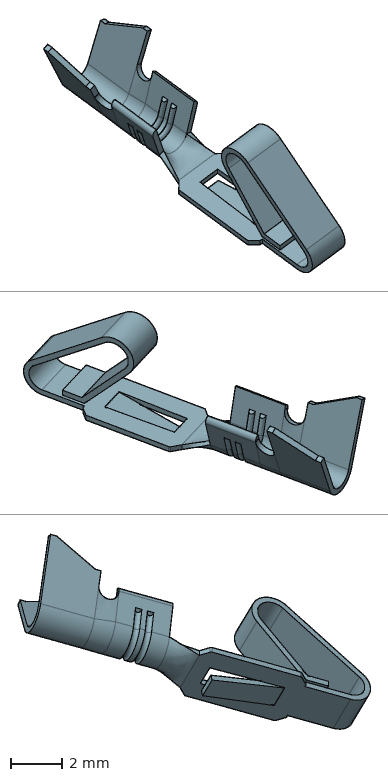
import cadquery as cq
import math

sheet = 0.25

insulation_end = 2.27
insulation_radius = 0.88
insulation_lean = 20
insulation_wing_high = 3.0
insulation_wing_low = 2.07
wing_tip_flat = 0.25

conductor_start = 3.14
conductor_end = 5.42
conductor_radius = 0.9
conductor_lean = 15
conductor_wing = 1.6
conductor_tip_fillet = 0.22

neck_wing = 1.39
neck_floor = 0.95

serration_centers = (4.03, 4.53)
serration_radius = 0.132
serration_wing = 0.86
serration_end_slope = 25

blade_start = 6.63
blade_end = 11.13
blade_half_width = 1.36
blade_start_half_width = 1.0
blade_corner = 0.35
blade_corner_fillet = 0.1

tongue_hinge = 10.41
tongue_tip_drop = 0.61
tongue_angle = 11
tongue_hinge_drop = 0.021
tongue_hinge_half_width = 0.54
tongue_tip_half_width = 0.49
window_start = 7.28

clip_width = 1.81
overall_length = 13.9
nose_radius = 0.85
loop_radius = 0.9
loop_center = (9.79, 3.34)
nose_center = (overall_length - nose_radius, nose_radius)
front_leg_angle = 49.5
tail_underside = 0.38
tail_end = 12.12


def polar(center, radius, degrees):
    """Point at a given radius and direction from a center."""
    angle = math.radians(degrees)
    return (center[0] + radius * math.cos(angle), center[1] + radius * math.sin(angle))


def wing_point(bend_radius, face_radius, lean, length):
    """Point (y, z) on a face of the +Y wing, a given length above the bend."""
    y, z = polar((0, bend_radius), face_radius, -lean)
    return polar((y, z), length, 90 - lean)


def mirrored(point):
    return (-point[0], point[1])


def face_bottom(bend_radius, face_radius):
    return (0, bend_radius - face_radius)


def trough_section(x, bend_radius, lean, wing):
    """Closed U-shaped section of the sheet at position x, with or without straight wings."""
    inner_radius = bend_radius - sheet
    outer_bend = wing_point(bend_radius, bend_radius, lean, 0)
    inner_bend = wing_point(bend_radius, inner_radius, lean, 0)
    outer_tip = wing_point(bend_radius, bend_radius, lean, wing)
    inner_tip = wing_point(bend_radius, inner_radius, lean, wing)
    section = cq.Workplane("YZ", origin=(x, 0, 0)).moveTo(*mirrored(outer_bend))
    section = section.threePointArc(face_bottom(bend_radius, bend_radius), outer_bend)
    if wing > 0:
        section = section.lineTo(*outer_tip)
    section = section.lineTo(*inner_tip)
    if wing > 0:
        section = section.lineTo(*inner_bend)
    section = section.threePointArc(face_bottom(bend_radius, inner_radius), mirrored(inner_bend))
    if wing > 0:
        section = section.lineTo(*mirrored(inner_tip))
    section = section.lineTo(*mirrored(outer_tip))
    return section.close()


def section_wire(section):
    return section.wires().val()


def wing_plane(bend_radius, lean, side):
    """Plane on the outer wing face at the bend: local x along X, normal pointing inwards."""
    y, z = wing_point(bend_radius, bend_radius, lean, 0)
    angle = math.radians(lean)
    inward = (0, -side * math.cos(angle), math.sin(angle))
    return cq.Plane(origin=(0, side * y, z), xDir=(1, 0, 0), normal=inward)


def upward(plane):
    """Sign of the plane's local y that points up the wing."""
    return 1 if plane.yDir.z > 0 else -1


def wing_cutter(outline, bend_radius, lean, side):
    """Prism through one wing; the outline is given as (x, length above the bend)."""
    plane = wing_plane(bend_radius, lean, side)
    points = [(x, upward(plane) * length) for x, length in outline]
    return cq.Workplane(plane).polyline(points).close().extrude(2 * sheet, both=True)


def insulation_barrel():
    barrel = trough_section(0, insulation_radius, insulation_lean, insulation_wing_high)
    barrel = barrel.extrude(insulation_end)
    above = insulation_wing_high + sheet
    for side in (-1, 1):
        slant = [
            (wing_tip_flat, insulation_wing_high),
            (insulation_end - wing_tip_flat, insulation_wing_low),
            (insulation_end + sheet, insulation_wing_low),
            (insulation_end + sheet, above),
            (wing_tip_flat, above),
        ]
        if side > 0:
            slant = [(insulation_end - x, length) for x, length in slant]
        barrel = barrel.cut(wing_cutter(slant, insulation_radius, insulation_lean, side))
    return barrel


def neck():
    start = trough_section(insulation_end, insulation_radius, insulation_lean, neck_wing)
    end = trough_section(conductor_start, conductor_radius, conductor_lean, neck_wing)
    body = cq.Workplane(cq.Solid.makeLoft([section_wire(start), section_wire(end)], True))
    mean_radius = (insulation_radius + conductor_radius) / 2
    mean_lean = (insulation_lean + conductor_lean) / 2
    relief_radius = (conductor_start - insulation_end) / 2
    relief_x = insulation_end + relief_radius
    for side in (-1, 1):
        plane = wing_plane(mean_radius, mean_lean, side)
        relief_height = upward(plane) * (neck_floor + relief_radius)
        relief = cq.Workplane(plane).center(relief_x, relief_height).circle(relief_radius)
        body = body.cut(relief.extrude(2 * sheet, both=True))
    return body


def serration(x, face_radius):
    """Round bar following one face of the conductor barrel from wing to wing."""
    end = wing_point(conductor_radius, face_radius, conductor_lean, serration_wing)
    tip = wing_point(conductor_radius, face_radius, conductor_lean, serration_wing + serration_radius)
    bend = wing_point(conductor_radius, face_radius, conductor_lean, 0)
    path = (
        cq.Workplane("YZ", origin=(x, 0, 0))
        .moveTo(*mirrored(tip))
        .lineTo(*mirrored(bend))
        .threePointArc(face_bottom(conductor_radius, face_radius), bend)
        .lineTo(*tip)
    )
    lean = math.radians(conductor_lean)
    end_plane = cq.Plane(
        origin=(x, -tip[0], tip[1]),
        xDir=(1, 0, 0),
        normal=(0, math.sin(lean), -math.cos(lean)),
    )
    bar = cq.Workplane(end_plane).circle(serration_radius).sweep(path)
    slope = math.tan(math.radians(serration_end_slope))
    reach = 2 * end[0]
    outer_height = end[1] + (reach - end[0]) * slope
    middle_height = end[1] - end[0] * slope
    trim = (
        cq.Workplane("YZ", origin=(x, 0, 0))
        .polyline([
            (-reach, outer_height),
            (0, middle_height),
            (reach, outer_height),
            (reach, -conductor_radius),
            (-reach, -conductor_radius),
        ])
        .close()
        .extrude(2 * serration_radius, both=True)
    )
    return bar.intersect(trim)


def conductor_barrel():
    barrel = trough_section(conductor_start, conductor_radius, conductor_lean, conductor_wing)
    barrel = barrel.extrude(conductor_end - conductor_start)
    barrel = barrel.edges("|X").edges(">Y or <Y").fillet(conductor_tip_fillet)
    for x in serration_centers:
        barrel = barrel.union(serration(x, conductor_radius - sheet))
    for x in serration_centers:
        barrel = barrel.cut(serration(x, conductor_radius))
    return barrel


def transition():
    """Flattens the conductor barrel's rounded floor into the blade."""
    start = trough_section(conductor_end, conductor_radius, conductor_lean, 0)
    half = blade_start_half_width
    flat = (
        cq.Workplane("YZ", origin=(blade_start, 0, 0))
        .polyline([(-half, 0), (half, 0), (half, sheet), (-half, sheet)])
        .close()
    )
    return cq.Workplane(cq.Solid.makeLoft([section_wire(start), section_wire(flat)], True))


def blade_with_tongue():
    half = blade_half_width
    end_half = half - blade_corner
    edge = [
        (blade_start, blade_start_half_width),
        (blade_start + blade_corner, half),
        (blade_end - blade_corner, half),
        (blade_end, end_half),
    ]
    outline = edge + [(x, -y) for x, y in reversed(edge)]
    blade = cq.Workplane("XY").polyline(outline).close().extrude(sheet)
    blade = blade.edges("|Z").edges(">Y or <Y").fillet(blade_corner_fillet)

    window_outline = [
        (window_start, tongue_tip_half_width),
        (tongue_hinge, tongue_hinge_half_width),
        (tongue_hinge, -tongue_hinge_half_width),
        (window_start, -tongue_tip_half_width),
    ]
    window = (
        cq.Workplane("XY", origin=(0, 0, -2 * tongue_tip_drop))
        .polyline(window_outline)
        .close()
        .extrude(4 * tongue_tip_drop)
    )
    tongue_length = (tongue_tip_drop - tongue_hinge_drop) / math.sin(math.radians(tongue_angle))
    lower_hinge = (tongue_hinge, -tongue_hinge_drop)
    upper_hinge = (tongue_hinge, sheet - tongue_hinge_drop)
    lower_tip = polar(lower_hinge, tongue_length, 180 + tongue_angle)
    upper_tip = polar(lower_tip, sheet, 90 + tongue_angle)
    tongue = (
        cq.Workplane("XZ")
        .polyline([lower_hinge, lower_tip, upper_tip, upper_hinge])
        .close()
        .extrude(half, both=True)
        .intersect(window)
    )
    return blade.cut(window).union(tongue)


def spring_clip():
    """Strip curled up around the nose, back over the blade, and down to a short tail."""
    rise = loop_center[1] - nose_center[1]
    back = nose_center[0] - loop_center[0]
    center_distance = math.hypot(back, rise)
    tilt = math.atan2(rise, back) + math.asin((loop_radius - nose_radius) / center_distance)
    back_normal = 90 - math.degrees(tilt)
    front_normal = 270 - front_leg_angle
    loop_middle = (back_normal + front_normal) / 2
    nose_middle = (back_normal - 90) / 2

    def face(depth, tail_z):
        """Key points along one face, a given depth below the outside of the bends."""
        nose = nose_radius - depth
        loop = loop_radius - depth
        leg_top = polar(loop_center, loop, front_normal)
        leg_run = (leg_top[1] - tail_z) / math.tan(math.radians(front_leg_angle))
        return [
            (blade_end, depth),
            polar(nose_center, nose, -90),
            polar(nose_center, nose, nose_middle),
            polar(nose_center, nose, back_normal),
            polar(loop_center, loop, back_normal),
            polar(loop_center, loop, loop_middle),
            leg_top,
            (leg_top[0] + leg_run, tail_z),
            (tail_end, tail_z),
        ]

    outside = face(0, tail_underside)
    inside = face(sheet, tail_underside + sheet)
    profile = (
        cq.Workplane("XZ")
        .moveTo(*outside[0])
        .lineTo(*outside[1])
        .threePointArc(outside[2], outside[3])
        .lineTo(*outside[4])
        .threePointArc(outside[5], outside[6])
        .lineTo(*outside[7])
        .lineTo(*outside[8])
        .lineTo(*inside[8])
        .lineTo(*inside[7])
        .lineTo(*inside[6])
        .threePointArc(inside[5], inside[4])
        .lineTo(*inside[3])
        .threePointArc(inside[2], inside[1])
        .lineTo(*inside[0])
        .close()
    )
    return profile.extrude(clip_width / 2, both=True)


result = (
    insulation_barrel()
    .union(neck())
    .union(conductor_barrel())
    .union(transition())
    .union(blade_with_tongue())
    .union(spring_clip())
)